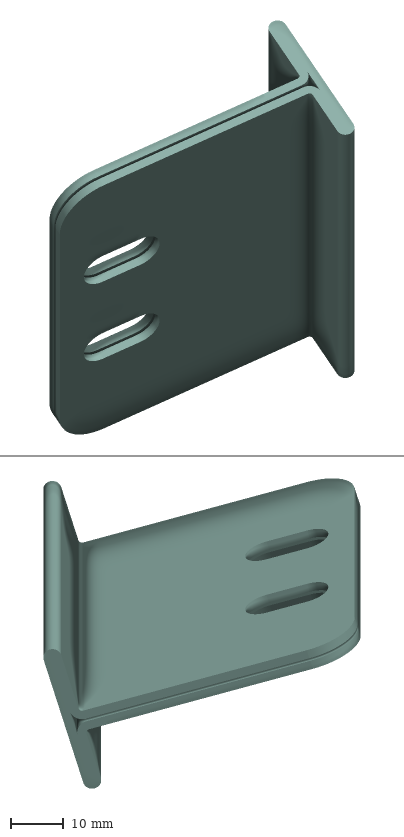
import cadquery as cq

height = 79.0
flange_width = 30.0
depth = 57.9
sheet = 1.7
bend_inner_radius = 0.7
web_gap = 0.55
web_offset = 0.95
corner_radius = 9.5

slot_length = 16.4
slot_width = 8.4
slot_pitch = 25.05
slot_to_edge = 13.4

bend_outer_radius = bend_inner_radius + sheet
hem_radius = sheet
back_y = depth / 2
free_edge_y = -depth / 2
layer_y = back_y - sheet
bend_center_y = layer_y - bend_outer_radius


def box(x_min, x_max, y_min, y_max):
    """Full-height block between the given X and Y limits."""
    return (
        cq.Workplane("XY", origin=(0, 0, -height / 2))
        .rect(x_max - x_min, y_max - y_min)
        .extrude(height)
        .translate(((x_min + x_max) / 2, (y_min + y_max) / 2, 0))
    )


def cylinder(x, y, radius):
    """Full-height cylinder along Z."""
    return cq.Workplane("XY", origin=(x, y, -height / 2)).circle(radius).extrude(height)


def flange_back():
    """Back sheet with the rounded hem folds at both ends."""
    fold_x = flange_width / 2 - hem_radius
    back = box(-fold_x, fold_x, layer_y, back_y)
    for side in (-1, 1):
        fold = cylinder(side * fold_x, layer_y, hem_radius)
        outer_limits = sorted((side * fold_x, side * flange_width / 2))
        back = back.union(fold.intersect(box(*outer_limits, layer_y - sheet, back_y)))
    return back


def folded_side(side):
    """Front hem layer, bend and web on one side (-1 or 1)."""
    fold_x = side * (flange_width / 2 - hem_radius)
    web_inner_x = web_offset + side * web_gap / 2
    web_outer_x = web_inner_x + side * sheet
    bend_center_x = web_inner_x + side * bend_outer_radius

    layer = box(*sorted((fold_x, bend_center_x)), layer_y - sheet, layer_y)
    web = box(*sorted((web_inner_x, web_outer_x)), free_edge_y, bend_center_y)
    ring = cylinder(bend_center_x, bend_center_y, bend_outer_radius).cut(
        cylinder(bend_center_x, bend_center_y, bend_inner_radius)
    )
    bend_limits = sorted((web_inner_x, bend_center_x))
    bend = ring.intersect(box(*bend_limits, bend_center_y, layer_y))
    web = web.edges("|X and <Y").fillet(corner_radius)
    return layer.union(bend).union(web)


def slots():
    """Two slots running through both webs."""
    return (
        cq.Workplane("YZ")
        .center(free_edge_y + slot_to_edge, 0)
        .pushPoints([(0, -slot_pitch / 2), (0, slot_pitch / 2)])
        .slot2D(slot_length, slot_width)
        .extrude(flange_width / 2, both=True)
    )


bracket = flange_back()
for web_side in (-1, 1):
    bracket = bracket.union(folded_side(web_side))

result = bracket.cut(slots())